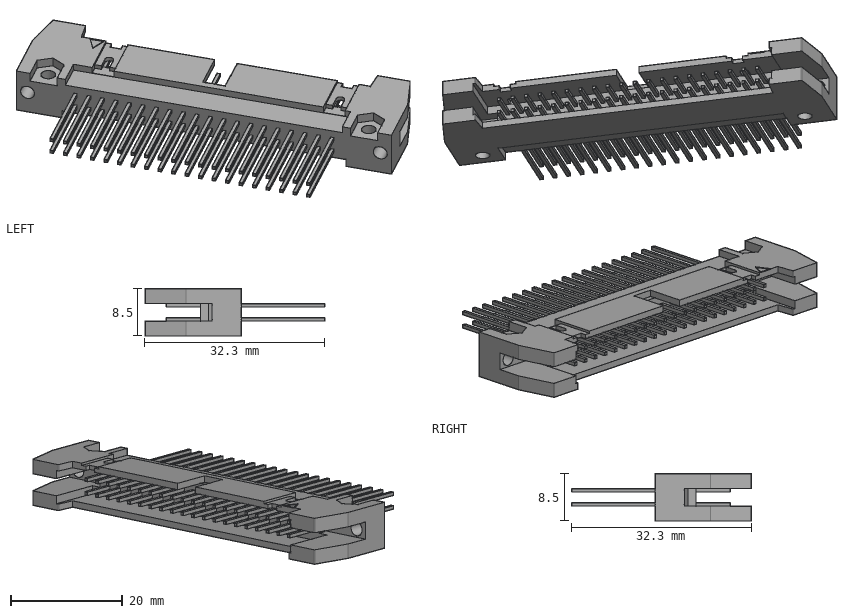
import cadquery as cq
import math

LENGTH = 70.4
HALF_LENGTH = LENGTH / 2
HEIGHT = 8.5
MID_Z = HEIGHT / 2
BODY_DEPTH = 13.7

EAR_DEPTH = 17.3
EAR_SHOULDER_Y = 10.0
EAR_TIP_OUTER_X = HALF_LENGTH - 1.7
EAR_TIP_INNER_X = HALF_LENGTH - 7.8
EAR_ROOT_X = HALF_LENGTH - 8.1
EAR_CORNER_RADIUS = 0.15

SLOT_HEIGHT = 3.2
SLOT_FLOOR_Y = 5.3
SLOT_INNER_X = 26.05
UNDERCUT = 0.6

CAVITY_FLOOR_Y = 7.4
CAVITY_HALF_WIDTH = 27.9
WALL = 1.2

PIN_COLUMNS = 20
PIN_PITCH = 2.5
PIN_SIZE = 0.6
PIN_TAPER = 0.1
PIN_TAIL = 15.0
PIN_TIP_Y = 13.5

HOLE_DIAMETER = 2.6
NUT_X = HALF_LENGTH - 5.15
NUT_Y = 2.9
NUT_WIDTH = 5.1
NUT_DEPTH = 1.7
HEX_HALF_ANGLE = math.pi / 6
END_HOLE_X = HALF_LENGTH - 2.1

TOP_STEP_HALF_LENGTH = 26.0
BOTTOM_STEP_HALF_LENGTH = 26.6
STEP_WIDTH = 5.0
TOP_STEP_DEPTH = 1.3
BOTTOM_STEP_DEPTH = 1.5

LEFT_CHANNEL_X = -20.4
RIGHT_CHANNEL_X = -LEFT_CHANNEL_X + PIN_PITCH
CHANNEL_WIDTH = 4.1
CHANNEL_DEPTH = 0.4
LOWERED_END_Y = 6.55
WINDOW_WIDTH = 1.55
WINDOW_END_Y = 9.6
NOTCH_WIDTH = 2.05
NOTCH_DEPTH = 1.05

KEY_WIDTH = 4.2
KEY_END_Y = 6.35

MARK_X = -24.15
MARK_WIDTH = 2.5
MARK_TIP_Y = 11.0
MARK_BASE_Y = 13.6
MARK_DEPTH = 0.15


def block(x_min, x_max, y_min, y_max, z_min, z_max):
    size = (x_max - x_min, y_max - y_min, z_max - z_min)
    return cq.Workplane("XY").box(*size, centered=False).translate((x_min, y_min, z_min))


def centered_block(x, width, y_min, y_max, z_min, z_max):
    return block(x - width / 2, x + width / 2, y_min, y_max, z_min, z_max)


def prism(points, z_min, z_max):
    return cq.Workplane("XY", origin=(0, 0, z_min)).polyline(points).close().extrude(z_max - z_min)


def housing():
    right_side = [
        (HALF_LENGTH, 0),
        (HALF_LENGTH, EAR_SHOULDER_Y),
        (EAR_TIP_OUTER_X, EAR_DEPTH),
        (EAR_TIP_INNER_X, EAR_DEPTH),
        (EAR_ROOT_X, BODY_DEPTH),
    ]
    left_side = [(-x, y) for x, y in reversed(right_side)]
    body = prism(right_side + left_side, 0, HEIGHT)
    tip_corners = body.faces(">Y").edges("|Z")
    return tip_corners.fillet(EAR_CORNER_RADIUS)


def cavity():
    return block(
        -CAVITY_HALF_WIDTH, CAVITY_HALF_WIDTH, CAVITY_FLOOR_Y, EAR_DEPTH, WALL, HEIGHT - WALL
    )


def latch_slot():
    """Slot at the +X end; its inner wall is undercut at the floor."""
    outline = [
        (HALF_LENGTH, SLOT_FLOOR_Y),
        (SLOT_INNER_X - UNDERCUT, SLOT_FLOOR_Y),
        (SLOT_INNER_X, SLOT_FLOOR_Y + UNDERCUT),
        (SLOT_INNER_X, EAR_DEPTH),
        (HALF_LENGTH, EAR_DEPTH),
    ]
    return prism(outline, MID_Z - SLOT_HEIGHT / 2, MID_Z + SLOT_HEIGHT / 2)


def nut_mount():
    """Vertical hole at the +X end, with a hexagonal pocket open toward -Y."""
    pocket_floor = HEIGHT - NUT_DEPTH
    half_width = NUT_WIDTH / 2
    shoulder_y = NUT_Y + half_width * math.tan(HEX_HALF_ANGLE)
    apex_y = NUT_Y + half_width / math.cos(HEX_HALF_ANGLE)
    outline = [
        (NUT_X - half_width, 0),
        (NUT_X + half_width, 0),
        (NUT_X + half_width, shoulder_y),
        (NUT_X, apex_y),
        (NUT_X - half_width, shoulder_y),
    ]
    hole = cq.Workplane("XY").center(NUT_X, NUT_Y).circle(HOLE_DIAMETER / 2).extrude(HEIGHT)
    return prism(outline, pocket_floor, HEIGHT).union(hole)


def end_hole():
    """Hole along Y from the solder side into the latch slot."""
    profile = cq.Workplane("XZ").center(END_HOLE_X, MID_Z).circle(HOLE_DIAMETER / 2)
    return profile.extrude(-EAR_SHOULDER_Y)


def top_channel(x):
    """Channel across the top wall at the given X, with its window and notch."""
    ceiling = HEIGHT - WALL
    channel = centered_block(x, CHANNEL_WIDTH, 0, BODY_DEPTH, HEIGHT - CHANNEL_DEPTH, HEIGHT)
    lowered_end = centered_block(x, CHANNEL_WIDTH, 0, LOWERED_END_Y, ceiling, HEIGHT)
    window_radius = WINDOW_WIDTH / 2
    arc_center_y = WINDOW_END_Y - window_radius
    window = centered_block(x, WINDOW_WIDTH, LOWERED_END_Y, arc_center_y, ceiling, HEIGHT)
    round_end = (
        cq.Workplane("XY", origin=(x, arc_center_y, ceiling)).circle(window_radius).extrude(WALL)
    )
    notch = centered_block(x, NOTCH_WIDTH, BODY_DEPTH - NOTCH_DEPTH, BODY_DEPTH, ceiling, HEIGHT)
    return channel.union(lowered_end).union(window).union(round_end).union(notch)


def edge_steps():
    top = centered_block(0, 2 * TOP_STEP_HALF_LENGTH, 0, STEP_WIDTH, HEIGHT - TOP_STEP_DEPTH, HEIGHT)
    bottom = centered_block(0, 2 * BOTTOM_STEP_HALF_LENGTH, 0, STEP_WIDTH, 0, BOTTOM_STEP_DEPTH)
    return top.union(bottom)


def key_slot():
    return centered_block(0, KEY_WIDTH, KEY_END_Y, BODY_DEPTH, HEIGHT - WALL, HEIGHT)


def pin_one_mark():
    outline = [
        (MARK_X - MARK_WIDTH / 2, MARK_BASE_Y),
        (MARK_X, MARK_TIP_Y),
        (MARK_X + MARK_WIDTH / 2, MARK_BASE_Y),
    ]
    return prism(outline, HEIGHT - MARK_DEPTH, HEIGHT)


def pin(x, z):
    bar = block(
        x - PIN_SIZE / 2, x + PIN_SIZE / 2, -PIN_TAIL, PIN_TIP_Y, z - PIN_SIZE / 2, z + PIN_SIZE / 2
    )
    return bar.faces("<Y or >Y").chamfer(PIN_TAPER)


result = housing().cut(cavity()).cut(edge_steps()).cut(key_slot()).cut(pin_one_mark())

for cutter in (latch_slot(), nut_mount(), end_hole()):
    result = result.cut(cutter).cut(cutter.mirror("YZ"))

for channel_x in (LEFT_CHANNEL_X, RIGHT_CHANNEL_X):
    result = result.cut(top_channel(channel_x))

for column in range(PIN_COLUMNS):
    pin_x = (column - (PIN_COLUMNS - 1) / 2) * PIN_PITCH
    for row_side in (-1, 1):
        result = result.union(pin(pin_x, MID_Z + row_side * PIN_PITCH / 2))